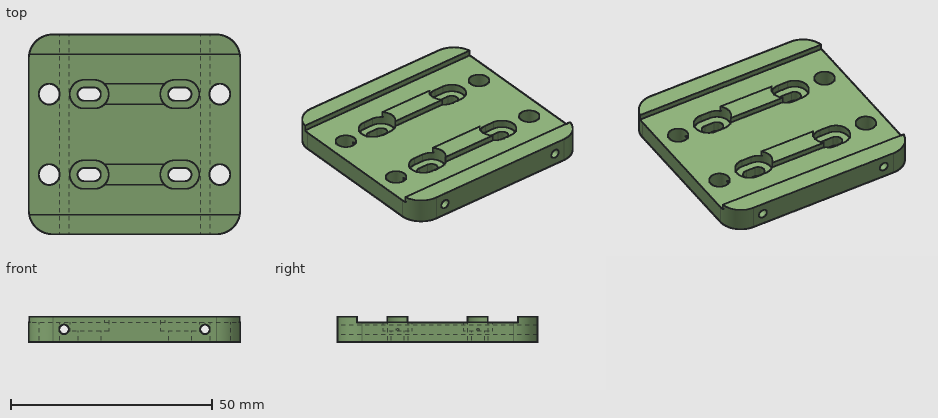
import cadquery as cq

LENGTH = 52.65
WIDTH = 49.75
HEIGHT = 6.35
CORNER_RADIUS = 6.0

LIP_WIDTH = 4.9
RECESS_DEPTH = 1.5
FLOOR_Z = HEIGHT - RECESS_DEPTH

ROW_Y = 10.0

HOLE_DIAMETER = 5.1
HOLE_X = 21.2

SLOT_X = 11.25
SLOT_LENGTH = 5.75
SLOT_WIDTH = 3.2
POCKET_LENGTH = 9.7
POCKET_WIDTH = 7.1
POCKET_DEPTH = 2.0

RIB_WIDTH = 5.1

CROSS_HOLE_DIAMETER = 2.3
CROSS_HOLE_X = 17.55

SIDES = (-1, 1)


def grid_points(x):
    """Positions at +-x on both feature rows."""
    return [(sx * x, sy * ROW_Y) for sx in SIDES for sy in SIDES]


def make_plate():
    """Rounded plate with a recessed floor, leaving a lip along each Y edge."""
    plate = cq.Workplane("XY").box(LENGTH, WIDTH, HEIGHT, centered=(True, True, False))
    plate = plate.edges("|Z").fillet(CORNER_RADIUS)
    recess = (
        cq.Workplane("XY", origin=(0, 0, FLOOR_Z))
        .rect(LENGTH, WIDTH - 2 * LIP_WIDTH)
        .extrude(RECESS_DEPTH)
    )
    return plate.cut(recess)


def make_ribs():
    """Ribs level with the lips, spanning between pocket centres."""
    return (
        cq.Workplane("XY")
        .pushPoints([(0, side * ROW_Y) for side in SIDES])
        .rect(2 * SLOT_X, RIB_WIDTH)
        .extrude(HEIGHT)
    )


def slot_cutters(length, width, bottom_z):
    """Slot-shaped cutters at all four slot positions, open at the top."""
    return (
        cq.Workplane("XY", origin=(0, 0, bottom_z))
        .pushPoints(grid_points(SLOT_X))
        .slot2D(length, width)
        .extrude(HEIGHT - bottom_z)
    )


def make_vertical_holes():
    return (
        cq.Workplane("XY")
        .pushPoints(grid_points(HOLE_X))
        .circle(HOLE_DIAMETER / 2)
        .extrude(HEIGHT)
    )


def make_cross_holes():
    """Holes at mid-height, parallel to Y."""
    return (
        cq.Workplane("XZ", origin=(0, 0, HEIGHT / 2))
        .pushPoints([(side * CROSS_HOLE_X, 0) for side in SIDES])
        .circle(CROSS_HOLE_DIAMETER / 2)
        .extrude(WIDTH / 2, both=True)
    )


result = (
    make_plate()
    .union(make_ribs())
    .cut(slot_cutters(POCKET_LENGTH, POCKET_WIDTH, FLOOR_Z - POCKET_DEPTH))
    .cut(slot_cutters(SLOT_LENGTH, SLOT_WIDTH, 0))
    .cut(make_vertical_holes())
    .cut(make_cross_holes())
)